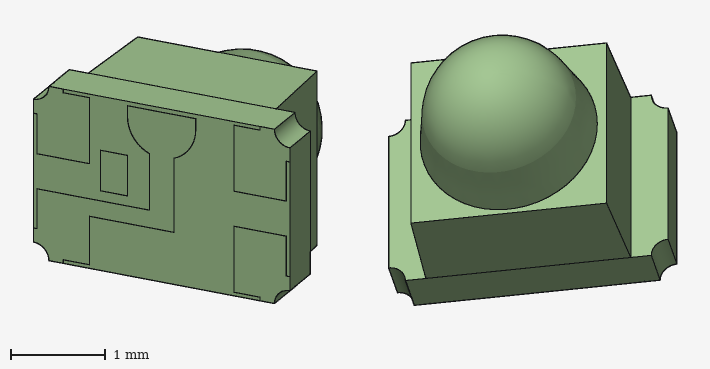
import cadquery as cq
import math


total_depth = 2.8

board_length = 3.0
board_height = board_length * 2 / 3
board_thickness = board_length / 6
notch_radius = 0.18

resin_foot_length = 2.2
resin_top_length = 2.1
lens_height = 1.2
resin_depth = total_depth - board_thickness - lens_height
lens_foot_radius = 0.95
dome_radius = 0.85

copper_thickness = 0.003
pad_inner_x = 0.845
pad_inner_z = 0.2
pad_setback = 0.042
tab_length_x = 0.348
tab_length_z = 0.342

mark_radius = 0.4
mark_top_gap = 0.05
mark_side_length = 0.13
stem_half_width = 0.145
arm_width = 0.2

patch_length = 0.315
patch_height = 0.465
patch_x = -0.558
patch_z = 0.147

half_length = board_length / 2
half_height = board_height / 2


def centred_box(length, depth, height, x=0, z=0):
    """Box that starts at y = 0, runs along +Y and is centred on (x, z)."""
    return cq.Workplane("XY").box(length, depth, height, centered=(True, False, True)).translate((x, 0, z))


def notch_cutters(depth):
    """Quarter-round notches: one cylinder along each corner edge of the board."""
    corners = [(x, z) for x in (-half_length, half_length) for z in (-half_height, half_height)]
    return cq.Workplane("XZ").pushPoints(corners).circle(notch_radius).extrude(-depth)


def make_pad(side_x, side_z):
    """Corner pad, set back from the board edges except for two tabs beside the notch."""
    pad_outline = [
        (pad_inner_x, pad_inner_z),
        (half_length - pad_setback, pad_inner_z),
        (half_length - pad_setback, half_height - tab_length_z),
        (half_length, half_height - tab_length_z),
        (half_length, half_height),
        (half_length - tab_length_x, half_height),
        (half_length - tab_length_x, half_height - pad_setback),
        (pad_inner_x, half_height - pad_setback),
    ]
    corner_outline = [(side_x * x, side_z * z) for x, z in pad_outline]
    pad = cq.Workplane("XZ").polyline(corner_outline).close().extrude(-copper_thickness)
    return pad.cut(notch_cutters(copper_thickness))


def make_polarity_mark():
    """Head, stem and arm of the mark, ending on the inner edge of the lower-left pad."""
    head_top = half_height - mark_top_gap
    head_centre = head_top - mark_side_length
    neck_z = head_centre - math.sqrt(mark_radius**2 - stem_half_width**2)
    arc_offset = mark_radius * math.sqrt(0.5)
    arm_bottom = -pad_inner_z - arm_width
    return (
        cq.Workplane("XZ")
        .moveTo(-mark_radius, head_top)
        .lineTo(mark_radius, head_top)
        .lineTo(mark_radius, head_centre)
        .threePointArc((arc_offset, head_centre - arc_offset), (stem_half_width, neck_z))
        .lineTo(stem_half_width, arm_bottom)
        .lineTo(-pad_inner_x, arm_bottom)
        .lineTo(-pad_inner_x, -pad_inner_z)
        .lineTo(-stem_half_width, -pad_inner_z)
        .lineTo(-stem_half_width, neck_z)
        .threePointArc((-arc_offset, head_centre - arc_offset), (-mark_radius, head_centre))
        .close()
        .extrude(-copper_thickness)
    )


def make_resin():
    """Tapered block and its lens, moulded in one piece on the back of the board."""
    resin_top = board_thickness + resin_depth
    block = (
        cq.Workplane("XY")
        .moveTo(-resin_foot_length / 2, board_thickness)
        .lineTo(resin_foot_length / 2, board_thickness)
        .lineTo(resin_top_length / 2, resin_top)
        .lineTo(-resin_top_length / 2, resin_top)
        .close()
        .extrude(half_height, both=True)
    )

    dome_centre = lens_height - dome_radius
    foot_distance = math.hypot(lens_foot_radius, dome_centre)
    tangent_angle = math.acos(dome_radius / foot_distance) - math.atan2(dome_centre, lens_foot_radius)
    middle_angle = (tangent_angle + math.pi / 2) / 2

    def dome_point(angle):
        return (-dome_radius * math.cos(angle), resin_top + dome_centre + dome_radius * math.sin(angle))

    lens = (
        cq.Workplane("XY")
        .moveTo(0, resin_top)
        .lineTo(-lens_foot_radius, resin_top)
        .lineTo(*dome_point(tangent_angle))
        .threePointArc(dome_point(middle_angle), (0, resin_top + lens_height))
        .close()
        .revolve(360, (0, 0, 0), (0, 1, 0))
    )
    return block.union(lens)


marked_pad = make_pad(-1, -1).union(make_polarity_mark())
plain_pads = [make_pad(side_x, side_z) for side_x, side_z in ((-1, 1), (1, 1), (1, -1))]
patch = centred_box(patch_length, copper_thickness, patch_height, patch_x, patch_z)
copper = [marked_pad, *plain_pads, patch]

board = centred_box(board_length, board_thickness, board_height).cut(notch_cutters(board_thickness))
for piece in copper:
    board = board.cut(piece)

resin = make_resin()

result = cq.Compound.makeCompound([board.val(), resin.val(), *[piece.val() for piece in copper]])